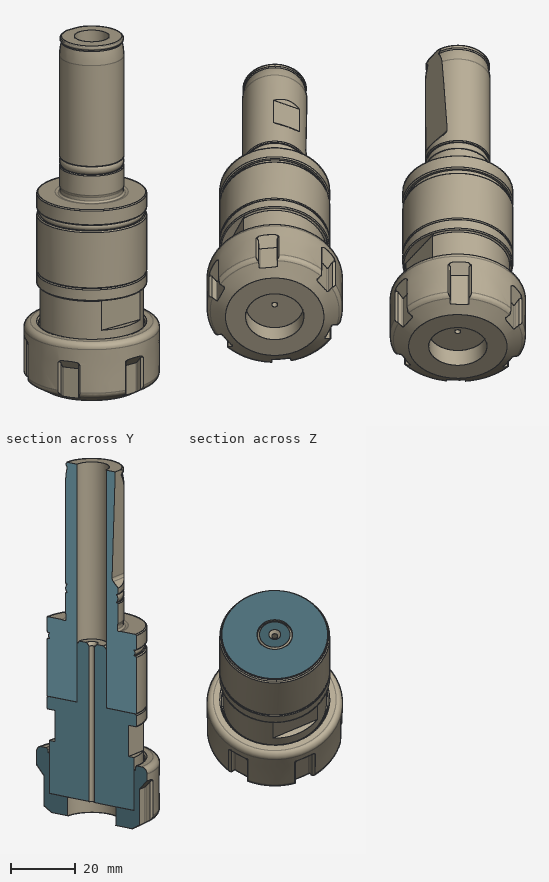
import cadquery as cq
import math


nut_top_z = 20.7
flats_bottom_z = 23.2
collar_bottom_z = 33.1
joint_z = 37.2
sleeve_top_z = 63.0
overall_height = 114.0

shank_radius = 10.0
bore_radius = 5.4
lead_in_bottom_z = 107.8
lead_in_radius = 9.4
lead_in_mid_radius = 9.8
lip_neck_top_z = 112.7
lip_neck_bottom_z = 112.2
lip_edge_radius = 9.6
lip_radius = 9.85
lip_chamfer = 0.3

shank_ring_z = 73.25
shank_ring_width = 2.6
shank_ring_radius = 9.95
shank_groove_radius = 9.4
shank_groove_chamfer = 0.3
sleeve_ring_z = 56.9
sleeve_ring_width = 1.8
sleeve_ring_radius = 16.4
sleeve_groove_radius = 16.0
sleeve_groove_chamfer = 0.4

undercut_top_z = 65.3
undercut_taper_bottom_z = 64.5
undercut_radius = 9.75
undercut_fillet = 0.6
undercut_face_depth = 0.2
undercut_face_radius = 11.3

sleeve_radius = 17.0
sleeve_chamfer = 0.35

notch_angle = 2.0
notch_top_x = 8.95
notch_bottom_z = 79.0
notch_runout_angle = 45.0
notch_fillet = 1.5
side_flat_depth = 1.0
side_flat_bottom_z = 84.1
side_flat_top_z = 95.2

neck_radius = 16.0
neck_fillet = 0.35
flats_width = 28.0
tenon_length = 20.0
tenon_chamfer = 0.8
coolant_radius = 0.9
countersink_radius = 1.95

nut_radius = 20.96
nut_lower_radius = 20.9
nut_face_radius = 15.2
nut_cone_angle = 30.0
nut_top_fillet = 2.0
nut_lower_fillet = 2.0
nut_mouth_radius = 17.0
nut_mouth_chamfer = 0.5
nut_relief_depth = 1.5
nut_face_thickness = 6.0
nut_opening_radius = 9.0

slot_count = 6
slot_width = 5.8
slot_mouth_width = 7.2
slot_corner_bevel = 1.0
slot_floor_radius = 18.1
slot_fillet = 0.3
slot_ceiling_angle = 48.0
slot_overcut = 1.0
high_slot_top_z = 16.45
low_slot_top_z = 14.45


def ring_band(profile, center_z, width, ring, groove, chamfer, outer):
    """Continue a downward (radius, z) profile through a chamfered groove and its convex ring."""
    top_z = center_z + width / 2
    bottom_z = center_z - width / 2
    return (
        profile.lineTo(outer, top_z + chamfer)
        .lineTo(outer - chamfer, top_z)
        .lineTo(groove, top_z)
        .threePointArc((ring, center_z), (groove, bottom_z))
        .lineTo(outer - chamfer, bottom_z)
        .lineTo(outer, bottom_z - chamfer)
    )


def housing_blank():
    profile = (
        cq.Workplane("XZ")
        .moveTo(bore_radius, overall_height)
        .lineTo(lip_edge_radius - lip_chamfer, overall_height)
        .lineTo(lip_edge_radius, overall_height - lip_chamfer)
        .threePointArc(
            (lip_radius, (overall_height - lip_chamfer + lip_neck_top_z) / 2),
            (lip_edge_radius, lip_neck_top_z),
        )
        .lineTo(lead_in_radius, lip_neck_bottom_z)
        .threePointArc(
            (lead_in_mid_radius, (lip_neck_bottom_z + lead_in_bottom_z) / 2),
            (shank_radius, lead_in_bottom_z),
        )
    )
    profile = ring_band(
        profile, shank_ring_z, shank_ring_width, shank_ring_radius,
        shank_groove_radius, shank_groove_chamfer, shank_radius,
    )
    recess_z = sleeve_top_z - undercut_face_depth
    profile = (
        profile.lineTo(shank_radius, undercut_top_z)
        .lineTo(undercut_radius, undercut_taper_bottom_z)
        .lineTo(undercut_radius, recess_z + undercut_fillet)
        .radiusArc((undercut_radius + undercut_fillet, recess_z), -undercut_fillet)
        .lineTo(undercut_face_radius, sleeve_top_z)
        .lineTo(sleeve_radius - sleeve_chamfer, sleeve_top_z)
        .lineTo(sleeve_radius, sleeve_top_z - sleeve_chamfer)
    )
    profile = ring_band(
        profile, sleeve_ring_z, sleeve_ring_width, sleeve_ring_radius,
        sleeve_groove_radius, sleeve_groove_chamfer, sleeve_radius,
    )
    return (
        profile.lineTo(sleeve_radius, joint_z + sleeve_chamfer)
        .lineTo(sleeve_radius - sleeve_chamfer, joint_z)
        .lineTo(bore_radius, joint_z)
        .close()
        .revolve(360, (0, 0, 0), (0, 1, 0))
    )


def tilted_notch():
    """Cutter on the -X side: a flat leaning inward on its way down, with a rounded 45 degree run-out."""
    drop = overall_height - notch_bottom_z
    bottom_x = -notch_top_x + drop * math.tan(math.radians(notch_angle))
    outer_x = -2 * shank_radius
    runout_drop = (bottom_x - outer_x) * math.tan(math.radians(notch_runout_angle))
    return (
        cq.Workplane("XZ")
        .moveTo(outer_x, overall_height)
        .lineTo(-notch_top_x, overall_height)
        .lineTo(bottom_x, notch_bottom_z)
        .lineTo(outer_x, notch_bottom_z - runout_drop)
        .close()
        .extrude(shank_radius, both=True)
        .edges(cq.selectors.NearestToPointSelector((bottom_x, 0, notch_bottom_z)))
        .fillet(notch_fillet)
    )


def side_flat():
    """Cutter on the +Y side: a flat whose two ends run out at 45 degrees."""
    flat_y = shank_radius - side_flat_depth
    outer_y = 2 * shank_radius
    runout = outer_y - flat_y
    return (
        cq.Workplane("YZ")
        .moveTo(flat_y, side_flat_bottom_z)
        .lineTo(flat_y, side_flat_top_z)
        .lineTo(outer_y, side_flat_top_z + runout)
        .lineTo(outer_y, side_flat_bottom_z - runout)
        .close()
        .extrude(shank_radius, both=True)
    )


def make_housing():
    return housing_blank().cut(tilted_notch()).cut(side_flat())


def wrench_flats():
    """Cutters for the two flats of the neck, facing -X and +X."""
    depth = neck_radius + neck_fillet - flats_width / 2
    height = collar_bottom_z - flats_bottom_z
    return (
        cq.Workplane("XY", origin=(0, 0, flats_bottom_z))
        .pushPoints([(side * (flats_width + depth) / 2, 0) for side in (-1, 1)])
        .rect(depth, 2 * sleeve_radius)
        .extrude(height)
    )


def make_spindle():
    tenon_top_z = joint_z + tenon_length
    countersink_depth = countersink_radius - coolant_radius
    blank = (
        cq.Workplane("XZ")
        .moveTo(coolant_radius, nut_face_thickness)
        .lineTo(neck_radius, nut_face_thickness)
        .lineTo(neck_radius, collar_bottom_z - neck_fillet)
        .radiusArc((neck_radius + neck_fillet, collar_bottom_z), neck_fillet)
        .lineTo(sleeve_radius - sleeve_chamfer, collar_bottom_z)
        .lineTo(sleeve_radius, collar_bottom_z + sleeve_chamfer)
        .lineTo(sleeve_radius, joint_z - sleeve_chamfer)
        .lineTo(sleeve_radius - sleeve_chamfer, joint_z)
        .lineTo(bore_radius, joint_z)
        .lineTo(bore_radius, tenon_top_z - tenon_chamfer)
        .lineTo(bore_radius - tenon_chamfer, tenon_top_z)
        .lineTo(countersink_radius, tenon_top_z)
        .lineTo(coolant_radius, tenon_top_z - countersink_depth)
        .close()
        .revolve(360, (0, 0, 0), (0, 1, 0))
    )
    return blank.cut(wrench_flats())


def nut_blank():
    cone_height = (nut_lower_radius - nut_face_radius) * math.tan(math.radians(nut_cone_angle))
    outside = (
        cq.Workplane("XZ")
        .lineTo(nut_face_radius, 0)
        .lineTo(nut_lower_radius, cone_height)
        .lineTo(nut_radius, nut_top_z)
        .lineTo(0, nut_top_z)
        .close()
        .revolve(360, (0, 0, 0), (0, 1, 0))
    )
    outside = outside.faces(">Z").edges().fillet(nut_top_fillet)
    lower_corner = outside.edges(cq.selectors.NearestToPointSelector((0, 0, cone_height)))
    outside = lower_corner.fillet(nut_lower_fillet)
    relief_radius = nut_mouth_radius - nut_mouth_chamfer
    relief_bottom_z = nut_top_z - nut_relief_depth
    inside = (
        cq.Workplane("XZ")
        .lineTo(nut_opening_radius, 0)
        .lineTo(nut_opening_radius, nut_face_thickness)
        .lineTo(neck_radius, nut_face_thickness)
        .lineTo(neck_radius, relief_bottom_z)
        .lineTo(relief_radius, relief_bottom_z)
        .lineTo(relief_radius, nut_top_z - nut_mouth_chamfer)
        .lineTo(nut_mouth_radius, nut_top_z)
        .lineTo(0, nut_top_z)
        .close()
        .revolve(360, (0, 0, 0), (0, 1, 0))
    )
    return outside.cut(inside)


def wrench_slot(top_z, angle):
    """Cutter for one slot, open downward and outward: flared mouth, bevelled top corners, sloping ceiling."""
    half_width = slot_width / 2
    half_mouth = slot_mouth_width / 2
    flare = half_mouth - half_width
    mouth_radius = math.sqrt(nut_lower_radius**2 - half_mouth**2)
    outer_radius = nut_radius + slot_overcut
    plan = (
        cq.Workplane("XY")
        .moveTo(slot_floor_radius, -half_width)
        .lineTo(mouth_radius - flare, -half_width)
        .lineTo(mouth_radius, -half_mouth)
        .lineTo(outer_radius, -half_mouth)
        .lineTo(outer_radius, half_mouth)
        .lineTo(mouth_radius, half_mouth)
        .lineTo(mouth_radius - flare, half_width)
        .lineTo(slot_floor_radius, half_width)
        .close()
        .extrude(nut_top_z)
        .faces("<X")
        .edges("|Z")
        .fillet(slot_fillet)
    )
    rise_per_depth = math.tan(math.radians(slot_ceiling_angle))
    floor_top_z = top_z - (nut_lower_radius - slot_floor_radius) * rise_per_depth
    ceiling = (
        cq.Workplane("XZ")
        .moveTo(slot_floor_radius, 0)
        .lineTo(slot_floor_radius, floor_top_z)
        .lineTo(outer_radius, top_z + (outer_radius - nut_lower_radius) * rise_per_depth)
        .lineTo(outer_radius, 0)
        .close()
        .extrude(half_mouth, both=True)
    )
    mouth = (
        cq.Workplane("YZ")
        .moveTo(-half_mouth, 0)
        .lineTo(-half_mouth, top_z - slot_corner_bevel)
        .lineTo(slot_corner_bevel - half_mouth, top_z)
        .lineTo(half_mouth - slot_corner_bevel, top_z)
        .lineTo(half_mouth, top_z - slot_corner_bevel)
        .lineTo(half_mouth, 0)
        .close()
        .extrude(outer_radius)
    )
    return plan.intersect(ceiling).intersect(mouth).rotate((0, 0, 0), (0, 0, 1), angle)


def make_nut():
    """The three slots around -X reach higher than the three around +X."""
    nut = nut_blank()
    for index in range(slot_count):
        angle = index * 360 / slot_count
        faces_left = 90 < angle < 270
        nut = nut.cut(wrench_slot(high_slot_top_z if faces_left else low_slot_top_z, angle))
    return nut


housing = make_housing()
spindle = make_spindle()
nut = make_nut()

result = cq.Compound.makeCompound([housing.solids().val(), spindle.solids().val(), nut.solids().val()])